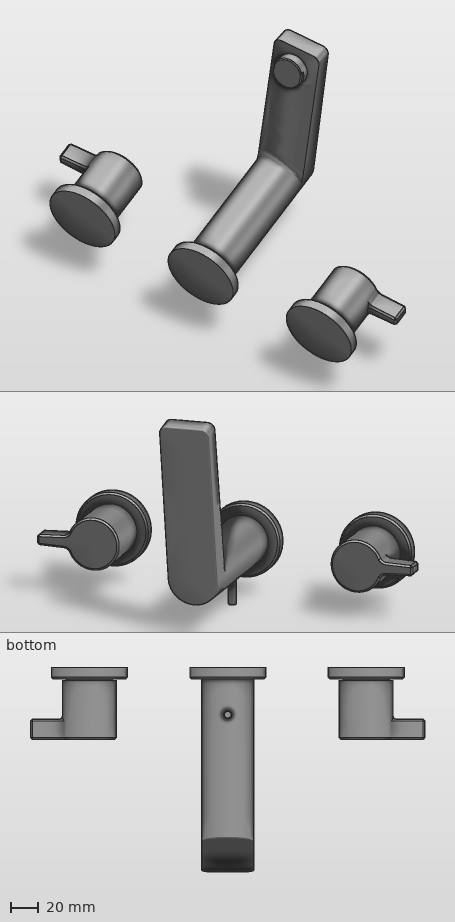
import cadquery as cq
import math

HANDLE_SPACING = 100.0
OVERALL_WIDTH = 284.8

PLATE_DIAMETER = 55.0
PLATE_THICKNESS = 8.5
PLATE_CHAMFER = 1.5

KNOB_DIAMETER = 39.0
KNOB_END = 52.0
NECK_DIAMETER = 33.5
NECK_LENGTH = 0.9
LEVER_DEPTH = 14.8
LEVER_TIP_THICKNESS = 7.7
LEVER_ROOT_THICKNESS = 9.0
LEVER_FLARE_RADIUS = 5.7
LEVER_FLARE_EMBED = 0.05
LEVER_UNDER_FILLET = 2.3
HANDLE_EDGE_CHAMFER = 1.5

SPOUT_DIAMETER = 38.0
SPOUT_RADIUS = SPOUT_DIAMETER / 2
SPOUT_REACH = 147.8
SPOUT_TOP = 121.5
BLADE_TILT = 10.0
BLADE_FRONT_BASE = 109.5
BLADE_FRONT_TOP = 134.0
BLADE_BULGE = 6.8
BULGE_END = 97.0
BLADE_CORNER_RADIUS = 5.7
BLADE_EDGE_FILLET = 1.0
ELBOW_FILLET = 5.7

AERATOR_DIAMETER = 24.2
AERATOR_LENGTH = 10.8
AERATOR_TILT = 20.0
AERATOR_CHAMFER = 0.9
AERATOR_FLATS = 21.6
AERATOR_FLAT_DEPTH = 3.5
OUTLET_Y = 119.5
OUTLET_Z = 107.7

PIN_DIAMETER = 6.0
PIN_Y = 34.2
PIN_BOTTOM = -41.0
PIN_SEAT_Z = -16.0
PIN_CHAMFER = 0.5


def cylinder_along_y(diameter, start, end):
    """Cylinder around the Y axis between two Y values."""
    base = cq.Workplane("XZ", origin=(0, start, 0))
    return base.circle(diameter / 2).extrude(start - end)


def base_plate(x):
    plate = cylinder_along_y(PLATE_DIAMETER, 0, PLATE_THICKNESS)
    return plate.faces(">Y").edges().chamfer(PLATE_CHAMFER).translate((x, 0, 0))


def lever():
    """Tapered lever pointing to +X, its root flaring into the knob."""
    tip = OVERALL_WIDTH / 2 - HANDLE_SPACING
    half_tip = LEVER_TIP_THICKNESS / 2
    half_root = LEVER_ROOT_THICKNESS / 2
    flare_base_radius = KNOB_DIAMETER / 2 - LEVER_FLARE_EMBED
    flare_z = half_root + LEVER_FLARE_RADIUS
    flare_angle = math.asin(flare_z / (flare_base_radius + LEVER_FLARE_RADIUS))
    flare_x = flare_z / math.tan(flare_angle)
    knob_x = flare_base_radius * math.cos(flare_angle)
    knob_z = flare_base_radius * math.sin(flare_angle)
    mid_angle = (math.pi / 2 + flare_angle) / 2
    mid_x = flare_x - LEVER_FLARE_RADIUS * math.cos(mid_angle)
    mid_z = flare_z - LEVER_FLARE_RADIUS * math.sin(mid_angle)
    body = (
        cq.Workplane("XZ", origin=(0, KNOB_END - LEVER_DEPTH, 0))
        .moveTo(0, 0)
        .lineTo(knob_x, knob_z)
        .threePointArc((mid_x, mid_z), (flare_x, half_root))
        .lineTo(tip, half_tip)
        .lineTo(tip, -half_tip)
        .lineTo(flare_x, -half_root)
        .threePointArc((mid_x, -mid_z), (knob_x, -knob_z))
        .close()
        .extrude(-LEVER_DEPTH)
    )
    return body.faces(">X or >Y or <Y").edges().chamfer(HANDLE_EDGE_CHAMFER)


def handle():
    """Knob with its neck and lever, on the Y axis with the lever toward +X."""
    knob = cylinder_along_y(KNOB_DIAMETER, PLATE_THICKNESS + NECK_LENGTH, KNOB_END)
    knob = knob.faces(">Y").edges().chamfer(HANDLE_EDGE_CHAMFER)
    neck = cylinder_along_y(NECK_DIAMETER, PLATE_THICKNESS, KNOB_END - LEVER_DEPTH)
    body = knob.union(lever())
    lever_bottom = KNOB_END - LEVER_DEPTH
    half_root = LEVER_ROOT_THICKNESS / 2
    root_edge = cq.selectors.BoxSelector(
        (0, lever_bottom - 0.3, -half_root),
        (KNOB_DIAMETER / 2, lever_bottom + 0.3, half_root),
    )
    return body.edges(root_edge).fillet(LEVER_UNDER_FILLET).union(neck)


def blade_section(z, half_width, bulge):
    """Horizontal blade outline: flat rear and sides, front bowed toward -Y by the bulge."""
    slope = (BLADE_FRONT_TOP - BLADE_FRONT_BASE) / SPOUT_TOP
    crown = BLADE_FRONT_BASE + slope * z - (BLADE_BULGE if bulge else 0)
    side_front = crown + bulge
    rear = SPOUT_REACH + SPOUT_RADIUS
    section = (
        cq.Workplane("XY", origin=(0, 0, z))
        .moveTo(half_width, side_front)
        .lineTo(half_width, rear)
        .lineTo(-half_width, rear)
        .lineTo(-half_width, side_front)
    )
    if bulge:
        section = section.threePointArc((0, crown), (half_width, side_front))
    return section.close().val()


def blade_plane():
    """Plane on the blade's rear face at its top edge: X across, Y up the blade, Z into it."""
    tilt = math.radians(BLADE_TILT)
    rear_top_z = SPOUT_TOP - (SPOUT_REACH - BLADE_FRONT_TOP) * math.tan(tilt)
    return cq.Plane(
        origin=(0, SPOUT_REACH, rear_top_z),
        xDir=(1, 0, 0),
        normal=(0, -math.cos(tilt), math.sin(tilt)),
    )


def leaning_slab(width):
    """Everything in front of the blade's rear face and below its top, within a width."""
    size = 2 * SPOUT_REACH
    return cq.Workplane(blade_plane()).center(0, -size / 2).rect(width, size).extrude(size)


def elbow():
    """Barrel and bowed lower blade, filleted together and trimmed to a common width."""
    bow_radius = (SPOUT_RADIUS**2 + BLADE_BULGE**2) / (2 * BLADE_BULGE)
    wide = SPOUT_RADIUS + 5.7
    wide_bulge = bow_radius - math.sqrt(bow_radius**2 - wide**2)
    wide_sections = [blade_section(z, wide, wide_bulge) for z in (-wide, BULGE_END)]
    wide_blade = cq.Workplane(cq.Solid.makeLoft(wide_sections, True))
    barrel = cylinder_along_y(SPOUT_DIAMETER, PLATE_THICKNESS, BLADE_FRONT_TOP)
    body = barrel.union(wide_blade)
    inner_corner = cq.selectors.NearestToPointSelector((0, BLADE_FRONT_BASE, 0))
    body = body.edges(inner_corner).fillet(ELBOW_FILLET)
    upper_half = (
        cq.Workplane("XY")
        .rect(SPOUT_DIAMETER, 4 * SPOUT_REACH)
        .extrude(BULGE_END)
    )
    return body.intersect(upper_half).union(barrel)


def blade_head():
    """Top of the blade, where the bow fades to a flat edge."""
    sections = [
        blade_section(BULGE_END, SPOUT_RADIUS, BLADE_BULGE),
        blade_section(SPOUT_TOP, SPOUT_RADIUS, 0),
    ]
    return cq.Workplane(cq.Solid.makeLoft(sections, True))


def outlet_plane():
    """Plane of the aerator's outer face, its normal pointing out of the spout."""
    tilt = math.radians(AERATOR_TILT)
    return cq.Plane(
        origin=(0, OUTLET_Y, OUTLET_Z),
        xDir=(1, 0, 0),
        normal=(0, -math.cos(tilt), math.sin(tilt)),
    )


def aerator_body():
    """Plain cylinder of the round outlet insert, also the shape of its recess."""
    return cq.Workplane(outlet_plane()).circle(AERATOR_DIAMETER / 2).extrude(-AERATOR_LENGTH)


def aerator():
    """Outlet insert with a chamfered rim and two wrench flats."""
    outer_face = cq.selectors.DirectionMinMaxSelector(outlet_plane().zDir)
    body = aerator_body().faces(outer_face).edges().chamfer(AERATOR_CHAMFER)
    flats = (
        cq.Workplane(outlet_plane())
        .pushPoints([(-AERATOR_FLATS, 0), (AERATOR_FLATS, 0)])
        .rect(AERATOR_FLATS, AERATOR_DIAMETER)
        .extrude(-AERATOR_FLAT_DEPTH)
    )
    return body.cut(flats)


def pin_body():
    """Plain pin cylinder, also the shape of its hole in the barrel."""
    bottom = cq.Workplane("XY", origin=(0, PIN_Y, PIN_BOTTOM))
    return bottom.circle(PIN_DIAMETER / 2).extrude(PIN_SEAT_Z - PIN_BOTTOM)


def pin():
    return pin_body().faces("<Z").edges().chamfer(PIN_CHAMFER)


def spout():
    """Barrel and blade in one piece, with recesses for the aerator and the pin."""
    body = elbow().union(blade_head()).intersect(leaning_slab(3 * SPOUT_DIAMETER))
    rear_to_front = blade_plane().zDir
    top_face = cq.selectors.DirectionMinMaxSelector(blade_plane().yDir)
    across = cq.selectors.ParallelDirSelector(rear_to_front)
    body = body.faces(top_face).edges(across).fillet(BLADE_CORNER_RADIUS)
    rear_face = cq.selectors.DirectionMinMaxSelector(rear_to_front, directionMax=False)
    body = body.faces(rear_face).edges().fillet(BLADE_EDGE_FILLET)
    return body.cut(aerator_body()).cut(pin_body())


plates = [base_plate(x) for x in (-HANDLE_SPACING, 0, HANDLE_SPACING)]
right_handle = handle().translate((HANDLE_SPACING, 0, 0))
handles = [right_handle, right_handle.mirror("YZ")]
bodies = [*plates, *handles, spout(), aerator(), pin()]
result = cq.Compound.makeCompound([solid for body in bodies for solid in body.solids().vals()])